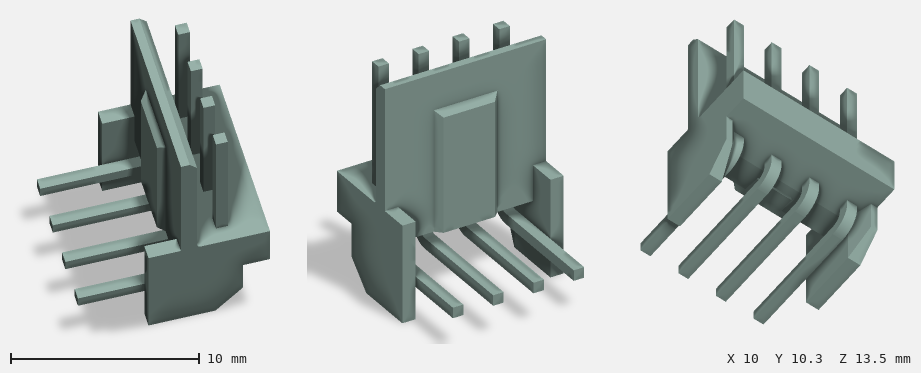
import cadquery as cq
import math

width = 10.0
height = 13.5
depth = 6.68
pin_reach = 3.62

shelf_top = 6.01
shelf_bottom = 3.51
shelf_overhang = 1.5
ear_thickness = 0.82
ear_chamfer = 1.5
ear_relief = 0.4

wall_front = 1.78
wall_thickness = 0.89
wall_back = wall_front + wall_thickness
wall_bottom = 3.81
underside_angle = 9.8
wall_top_chamfer = 0.4
root_radius = 0.23

rib_width = 3.94
rib_depth = 0.38
rib_top = 11.27

slot_width = 2.38

pin_count = 4
pin_pitch = 2.5
pin_size = 0.65
pin_back = 4.62
pin_bottom = 1.85
bend_inner_radius = 0.62
bend_outer_radius = bend_inner_radius + pin_size


def extrude_across(profile, length):
    """Extrude a YZ outline symmetrically about the X midplane."""
    return profile.extrude(length / 2, both=True)


def make_body():
    slope_run = (wall_bottom - shelf_bottom) / math.tan(math.radians(underside_angle))
    outline = (
        cq.Workplane("YZ")
        .moveTo(wall_front, wall_bottom)
        .lineTo(wall_front, height)
        .lineTo(wall_back - wall_top_chamfer, height)
        .lineTo(wall_back, height - wall_top_chamfer)
        .lineTo(wall_back, shelf_top + root_radius)
        .radiusArc((wall_back + root_radius, shelf_top), -root_radius)
        .lineTo(depth, shelf_top)
        .lineTo(depth, shelf_bottom)
        .lineTo(wall_front + slope_run, shelf_bottom)
        .close()
    )
    return extrude_across(outline, width)


def make_left_ear():
    """Ear whose inner side tapers towards the back, over the length of its chamfer."""
    ear_back = depth - shelf_overhang
    taper_start = ear_back - ear_chamfer
    outer_x = -width / 2
    inner_x = outer_x + ear_thickness
    side_outline = (
        cq.Workplane("YZ", origin=(outer_x, 0, 0))
        .moveTo(0, 0)
        .lineTo(taper_start, 0)
        .lineTo(ear_back, ear_chamfer)
        .lineTo(ear_back, shelf_top)
        .lineTo(0, shelf_top)
        .close()
        .extrude(ear_thickness)
    )
    plan_outline = (
        cq.Workplane("XY")
        .moveTo(outer_x, 0)
        .lineTo(inner_x, 0)
        .lineTo(inner_x, taper_start)
        .lineTo(inner_x - ear_relief, ear_back)
        .lineTo(outer_x, ear_back)
        .close()
        .extrude(shelf_top)
    )
    return side_outline.intersect(plan_outline)


def make_rib():
    """Rib with 45 degree bevels on its top and sides."""
    half_width = rib_width / 2
    side_bevels = (
        cq.Workplane("XY", origin=(0, 0, wall_bottom))
        .moveTo(-half_width, wall_front)
        .lineTo(half_width, wall_front)
        .lineTo(half_width - rib_depth, wall_front - rib_depth)
        .lineTo(-half_width + rib_depth, wall_front - rib_depth)
        .close()
        .extrude(rib_top - wall_bottom)
    )
    top_bevel = extrude_across(
        cq.Workplane("YZ")
        .moveTo(wall_front, wall_bottom)
        .lineTo(wall_front, rib_top)
        .lineTo(wall_front - rib_depth, rib_top - rib_depth)
        .lineTo(wall_front - rib_depth, wall_bottom)
        .close(),
        rib_width,
    )
    return side_bevels.intersect(top_bevel)


def make_pin(x_centre):
    """Square pin: upright behind the wall, bent forward under the shelf."""
    pin_front = pin_back - pin_size
    pin_top = pin_bottom + pin_size
    blank = extrude_across(
        cq.Workplane("YZ")
        .moveTo(-pin_reach, pin_bottom)
        .lineTo(pin_back - bend_outer_radius, pin_bottom)
        .radiusArc((pin_back, pin_bottom + bend_outer_radius), -bend_outer_radius)
        .lineTo(pin_back, height)
        .lineTo(pin_front, height)
        .lineTo(pin_front, pin_top + bend_inner_radius)
        .radiusArc((pin_front - bend_inner_radius, pin_top), bend_inner_radius)
        .lineTo(-pin_reach, pin_top)
        .close(),
        pin_size,
    )
    return blank.translate((x_centre, 0, 0))


def make_slot():
    """Slot through the shelf, opening forward below the wall."""
    slot_back = wall_back + root_radius
    return extrude_across(
        cq.Workplane("YZ")
        .moveTo(wall_front, 0)
        .lineTo(wall_front, wall_bottom)
        .lineTo(wall_back, wall_bottom)
        .lineTo(wall_back, height)
        .lineTo(slot_back, height)
        .lineTo(slot_back, 0)
        .close(),
        slot_width,
    )


result = make_body().union(make_rib()).cut(make_slot())
left_ear = make_left_ear()
result = result.union(left_ear).union(left_ear.mirror("YZ"))
for index in range(pin_count):
    result = result.union(make_pin((index - (pin_count - 1) / 2) * pin_pitch))